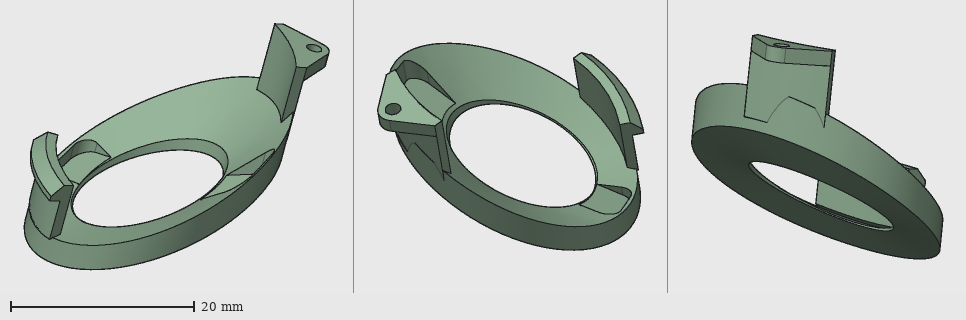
import cadquery as cq
import math

LEAN = 25.0
FAR = 108.75
LOOP_POINTS = 24

TOP_RIM = ((0, -0.7, -0.45), (13.35, 0.07, 6.9), (0, 16.2, -0.85), 0.35)
BOTTOM_RIM = ((0, -2.2, -3.8), (13.35, -0.2, 6.25), (0, 15.95, -1.55), 0.25)
UPPER_OPENING = ((-0.65, -1.95, -3.25), (8.1, 0.25, 3.62), (0, 9.17, -1.1), 0)
LOWER_OPENING = ((-0.6, -2.32, -4.0), (7.85, 0.07, 3.35), (0, 8.8, -1.6), 0)

POCKET_FLOOR_RISE = 1.0
POCKET_REACH = 12.87
POCKET_INNER_X = 5.45
POCKET_CORNER = 1.45
RIGHT_POCKET_INNER_Y = (0.47, -3.15)
RIGHT_POCKET_OUTER_Y = (0.8, -6.52)
LEFT_POCKET_INNER_Y = (3.37, -0.5)
LEFT_POCKET_OUTER_Y = (6.45, -0.87)

HOOK_AXIS = (7.98, 4.05)
HOOK_INNER_RADIUS = 20.75
HOOK_WALL = 1.15
HOOK_LIP = 1.27
HOOK_TOP_Z = -1.6
HOOK_SLOPE_DROP = 1.38
HOOK_LIP_EDGE = 0.58
HOOK_FOOT_RISE = 2.75
HOOK_START = 203.5
HOOK_END = 237.2

TAB_TOP_Z = 13.85
TAB_WALL = 1.15
TAB_FLANGE = 1.65
TAB_FOOT_RISE = 1.45
TAB_HOLE = (8.52, 11.65)
TAB_HOLE_DIAMETER = 1.7
TAB_CORNER = 1.8


def lean(body):
    """Turn a body modelled with the post direction along Z into the final axes."""
    return body.rotate((0, 0, 0), (1, 0, 0), -LEAN)


def oval(edge):
    """Closed oval edge that starts at its +X tip."""
    centre, to_x_tip, to_y_tip = (cq.Vector(*values) for values in edge[:3])
    tilt = math.radians(LEAN)
    to_twist = cq.Vector(0, math.sin(tilt), math.cos(tilt)) * edge[3]
    points = []
    for i in range(LOOP_POINTS):
        angle = 2 * math.pi * i / LOOP_POINTS
        flat_point = centre + to_x_tip * math.cos(angle) + to_y_tip * math.sin(angle)
        points.append(flat_point + to_twist * math.sin(2 * angle))
    return cq.Edge.makeSpline(points, periodic=True)


def make_ring():
    """Four ruled faces: outer wall, dish, opening and underside."""
    loops = [oval(edge) for edge in (BOTTOM_RIM, TOP_RIM, UPPER_OPENING, LOWER_OPENING)]
    faces = [cq.Face.makeRuledSurface(loops[i - 1], loops[i]) for i in range(len(loops))]
    solid = cq.Solid.makeSolid(cq.Shell.makeShell(faces))
    return cq.Workplane(cq.Shape.cast(solid.fix().wrapped))


def above_underside(rise):
    """Block of space above the plane of the bottom rim, raised by the given height."""
    centre, to_x_tip, to_y_tip = (cq.Vector(*values) for values in BOTTOM_RIM[:3])
    plane = cq.Plane(
        origin=centre + cq.Vector(0, 0, rise),
        xDir=to_x_tip,
        normal=to_x_tip.cross(to_y_tip),
    )
    return cq.Workplane(plane).rect(FAR, FAR).extrude(FAR)


def make_pocket(side, inner_y, outer_y):
    """Recess with upright walls and rounded outer corners; side is +1 for +X, -1 for -X."""
    corners = [
        (side * POCKET_INNER_X, inner_y[0]),
        (side * POCKET_REACH, outer_y[0]),
        (side * POCKET_REACH, outer_y[1]),
        (side * POCKET_INNER_X, inner_y[1]),
    ]
    prism = cq.Workplane().workplane(offset=-FAR / 2).polyline(corners).close().extrude(FAR)
    outer_side = ">X" if side > 0 else "<X"
    prism = prism.faces(outer_side).edges("|Z").fillet(POCKET_CORNER)
    return lean(prism).intersect(above_underside(POCKET_FLOOR_RISE))


def make_hook():
    """Curved wall with an outward lip, revolved about an upright axis."""
    inner = HOOK_INNER_RADIUS
    outer = inner + HOOK_WALL
    tip = outer + HOOK_LIP
    tip_z = HOOK_TOP_Z - HOOK_SLOPE_DROP
    under_z = tip_z - HOOK_LIP_EDGE
    profile = [
        (inner, -FAR / 2),
        (outer, -FAR / 2),
        (outer, under_z),
        (tip, under_z),
        (tip, tip_z),
        (outer, HOOK_TOP_Z),
        (inner, HOOK_TOP_Z),
    ]
    wall = cq.Workplane("XZ").polyline(profile).close().revolve(HOOK_END - HOOK_START, (0, 0), (0, -1))
    wall = wall.rotate((0, 0, 0), (0, 0, 1), HOOK_END)
    return lean(wall.translate((*HOOK_AXIS, 0))).intersect(above_underside(HOOK_FOOT_RISE))


def make_tab():
    """Concave wall that carries a drilled flange with one rounded corner."""
    wall_start, wall_end = (3.25, 13.5), (10.65, 6.65)
    inner_start, inner_middle, inner_end = (2.7, 12.6), (6.7, 9.57), (9.85, 5.7)
    outer_middle = tuple(value + TAB_WALL * math.sqrt(0.5) for value in inner_middle)
    flange_corner = (10.08, 13.38)

    def inner_side():
        start = cq.Workplane().workplane(offset=TAB_TOP_Z).moveTo(*wall_end).lineTo(*inner_end)
        return start.threePointArc(inner_middle, inner_start).lineTo(*wall_start)

    wall = inner_side().threePointArc(outer_middle, wall_end).close().extrude(-FAR / 2)
    flange = inner_side().lineTo(*flange_corner).close().extrude(-TAB_FLANGE)
    corner_edge = cq.selectors.NearestToPointSelector((*flange_corner, TAB_TOP_Z - TAB_FLANGE / 2))
    flange = flange.edges(corner_edge).fillet(TAB_CORNER)
    hole = cq.Workplane().center(*TAB_HOLE).circle(TAB_HOLE_DIAMETER / 2).extrude(FAR)
    return lean(wall.union(flange.cut(hole))).intersect(above_underside(TAB_FOOT_RISE))


right_pocket = make_pocket(1, RIGHT_POCKET_INNER_Y, RIGHT_POCKET_OUTER_Y)
left_pocket = make_pocket(-1, LEFT_POCKET_INNER_Y, LEFT_POCKET_OUTER_Y)

result = make_ring().cut(right_pocket).cut(left_pocket).union(make_hook()).union(make_tab())